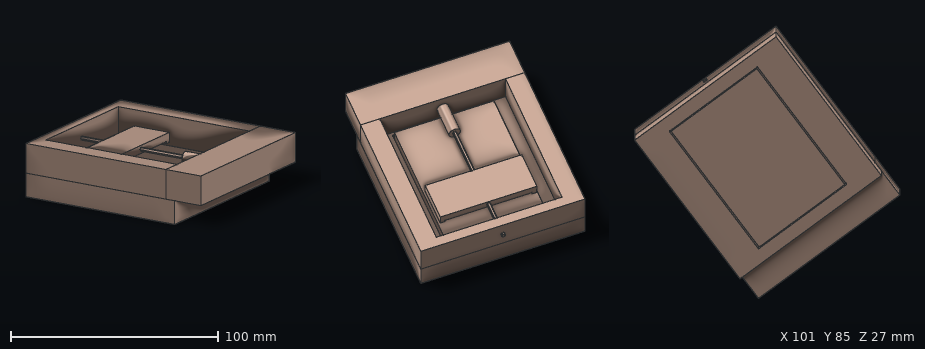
import cadquery as cq
overall_length = 101.0
overall_width = 85.0
overall_height = 27.0

rod_overhang = 1.0
rod_corner_diameter = 2.0
rod_socket_depth = 5.5

base_height = 12.0
window_length = 72.0
window_width = 53.0

platform_length = 71.0
platform_width = 51.5
platform_rise = 2.5

frame_length = 80.0
front_wall = 5.0
side_wall = 10.0
frame_height = overall_height - base_height

end_block_length = overall_length - rod_overhang - frame_length

slider_x = 19.0
slider_length = 20.0
slider_width = 50.0
slider_thickness = 4.0
rail_width = 2.4
rail_height = 1.0

sleeve_length = 16.0
sleeve_diameter = 6.0

base_length = overall_width
base_center_x = base_length / 2
rod_z = base_height + frame_height / 2
rod_length = rod_overhang + frame_length + rod_socket_depth


def block(x_start, length, width, z_start, height):
    """Rectangular block centred on Y = 0."""
    corner_block = cq.Workplane("XY").box(length, width, height, centered=(False, True, False))
    return corner_block.translate((x_start, 0, z_start))


def round_bar(x_start, length, diameter):
    """Cylinder along X on the rod axis."""
    bar = cq.Workplane("YZ").circle(diameter / 2).extrude(length)
    return bar.translate((x_start, 0, rod_z))


def make_rod():
    bar = cq.Workplane("YZ").polygon(6, rod_corner_diameter).extrude(rod_length)
    return bar.translate((-rod_overhang, 0, rod_z))


def make_base():
    window_x = base_center_x - window_length / 2
    window = block(window_x, window_length, window_width, 0, base_height)
    return block(0, base_length, overall_width, 0, base_height).cut(window)


def make_platform():
    platform_x = base_center_x - platform_length / 2
    return block(platform_x, platform_length, platform_width, 0, base_height + platform_rise)


def make_frame():
    outer = block(0, frame_length, overall_width, base_height, frame_height)
    cavity_width = overall_width - 2 * side_wall
    cavity = block(front_wall, frame_length - front_wall, cavity_width, base_height, frame_height)
    rod_hole = round_bar(0, front_wall, rod_corner_diameter)
    return outer.cut(cavity).cut(rod_hole)


def make_end_block(rod):
    return block(frame_length, end_block_length, overall_width, base_height, frame_height).cut(rod)


def make_slider(rod):
    plate_bottom = rod_z - slider_thickness / 2
    full_height = slider_thickness + rail_height
    body = block(slider_x, slider_length, slider_width, plate_bottom - rail_height, full_height)
    relief_width = slider_width - 2 * rail_width
    relief = block(slider_x, slider_length, relief_width, plate_bottom - rail_height, rail_height)
    return body.cut(relief).cut(rod)


def make_sleeve(rod):
    return round_bar(frame_length - sleeve_length, sleeve_length, sleeve_diameter).cut(rod)


drive_rod = make_rod()
base = make_base()
platform = make_platform()
frame = make_frame()
end_block = make_end_block(drive_rod)
slider = make_slider(drive_rod)
sleeve = make_sleeve(drive_rod)

result = cq.Compound.makeCompound([
    base.val(),
    platform.val(),
    frame.val(),
    end_block.val(),
    drive_rod.val(),
    slider.val(),
    sleeve.val(),
])